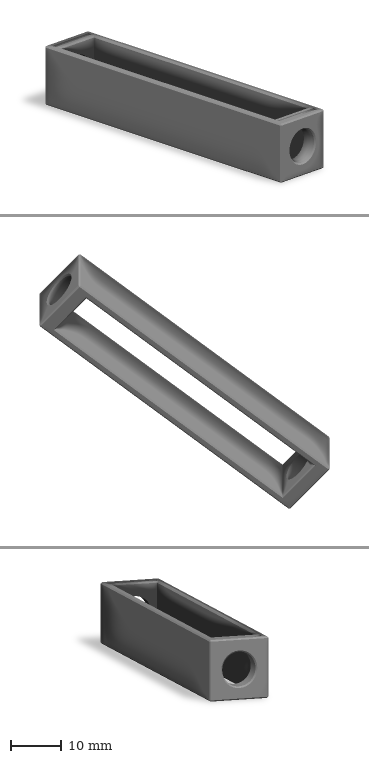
import cadquery as cq

length = 65.6
width = 12.5
height = 12.5

cavity_length = 59.4
cavity_width = 9.4

chamfer = 0.29

hole_diameter = 7.0

recess_length = 10.3
recess_width = 1.0
recess_depth = 0.2
recess_offset = 1.6


def outer_bar():
    """Solid bar with every outer edge chamfered."""
    return cq.Workplane("XY").box(length, width, height).edges().chamfer(chamfer)


def cut_cavity(body):
    """Cut the rectangular opening from top to bottom and chamfer both mouths."""
    cavity = cq.Workplane("XY").box(cavity_length, cavity_width, height)
    mouth_edges = cq.selectors.BoxSelector(
        (-cavity_length / 2 - chamfer / 2, -cavity_width / 2 - chamfer / 2, -height),
        (cavity_length / 2 + chamfer / 2, cavity_width / 2 + chamfer / 2, height),
    )
    return body.cut(cavity).faces("<Z or >Z").edges(mouth_edges).chamfer(chamfer)


def cut_end_holes(body):
    """Bore both end walls along X and chamfer the outer rims."""
    bore = cq.Workplane("YZ").circle(hole_diameter / 2).extrude(length / 2, both=True)
    return body.cut(bore).faces("<X or >X").edges("%CIRCLE").chamfer(chamfer)


def cut_label_recesses(body):
    """Sink one narrow recess into the top of each end wall."""
    recess_centre = length / 2 - recess_offset
    recesses = (
        cq.Workplane("XY")
        .workplane(offset=height / 2 - recess_depth)
        .pushPoints([(-recess_centre, 0), (recess_centre, 0)])
        .rect(recess_width, recess_length)
        .extrude(recess_depth)
    )
    return body.cut(recesses)


body = outer_bar()
body = cut_cavity(body)
body = cut_end_holes(body)
result = cut_label_recesses(body)